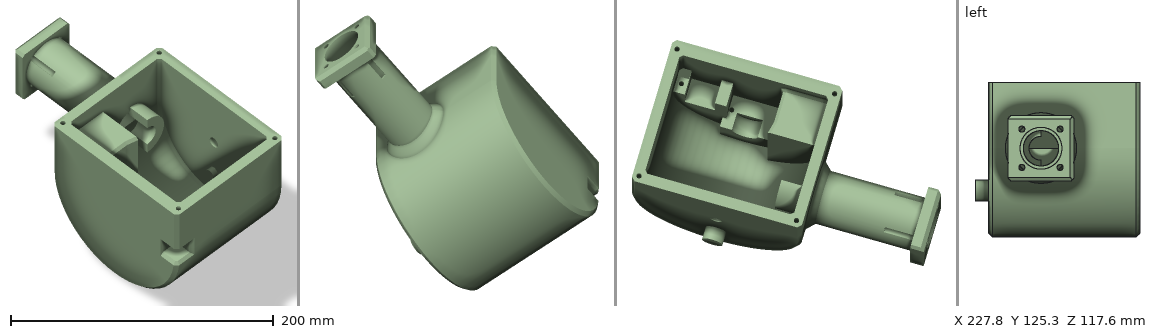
import cadquery as cq

total_length = 227.8
housing_radius = 67.5
housing_top = 50.1
housing_depth = 115.3
housing_chamfer = 3.0

side_wall = 8.5
front_wall = 10.3
back_wall = 8.5
cavity_radius = housing_radius - side_wall
cavity_back = housing_depth - back_wall
cavity_chamfer = 2.3

corner_block_top = 34.9
corner_block_back = 46.5
corner_block_wide_edge = -21.0
corner_block_narrow_edge = -23.2
corner_block_taper_start = 37.0
corner_block_chamfer = 2.3

shaft_z = -32.1
bearing_block_half_width = 19.8
bearing_block_back = 36.7
bearing_radius = 10.3
bearing_length = 14.0
block_screw_diameter = 3.9
block_screw_y = 21.6
bearing_screw_x = 14.8

mount_left = 16.9
mount_back = 29.2
mount_top = 6.2
post_width = 9.0
mount_recess = 22.8
mount_screw_x = 54.7

window_left = 50.1
window_back = 16.6
window_bottom = -4.8
window_top = 8.9
window_chamfer = 2.5

barrel_y = 75.5
barrel_radius = 21.0
barrel_root_chamfer = 6.2
barrel_bore_radius = 13.5
barrel_counterbore_radius = 16.0
barrel_counterbore_depth = 19.1
flange_size = 50.1
flange_thickness = 10.7
flange_chamfer = 3.0
flange_corner_chamfer = 2.3
flange_front = housing_radius - total_length
flange_screw_offset = 14.5
flange_screw_diameter = 4.5
flange_screw_depth = 34.2

half_tube_radius = 18.0
half_tube_bore_radius = 9.0
half_tube_end = -40.3

outer_boss_diameter = 16.2
outer_boss_length = 10.0
inner_stub_diameter = 8.2
inner_stub_length = 4.8
wall_hole_diameter = 9.0
wall_hole_z = 0.0

lid_screw_x = 62.5
lid_screw_front = 6.8
lid_screw_back = housing_depth - 5.0
lid_screw_diameter = 4.0
lid_screw_depth = 13.7

margin = 0.2


def box(x_min, x_max, y_min, y_max, z_min, z_max):
    """Axis-aligned box between the given limits."""
    return cq.Workplane("XY").box(
        x_max - x_min, y_max - y_min, z_max - z_min, centered=False
    ).translate((x_min, y_min, z_min))


def rod_y(x, z, radius, y_min, y_max):
    """Round bar along Y."""
    return cq.Workplane("XZ", origin=(x, y_min, z)).circle(radius).extrude(y_min - y_max)


def rod_x(y, z, radius, x_min, x_max):
    """Round bar along X."""
    return cq.Workplane("YZ", origin=(x_min, y, z)).circle(radius).extrude(x_max - x_min)


def rod_down(x, y, radius, z_max, depth):
    """Round bar going down from z_max."""
    return cq.Workplane("XY", origin=(x, y, z_max)).circle(radius).extrude(-depth)


def u_prism(radius, y_min, y_max):
    """Solid with a flat top and a half-round bottom, running along Y."""
    return (
        cq.Workplane("XZ", origin=(0, y_min, 0))
        .moveTo(-radius, housing_top)
        .lineTo(-radius, 0)
        .threePointArc((0, -radius), (radius, 0))
        .lineTo(radius, housing_top)
        .close()
        .extrude(y_min - y_max)
    )


def make_shell():
    body = u_prism(housing_radius, 0, housing_depth)
    body = body.faces("<Y").edges("not(>Z)").chamfer(housing_chamfer)
    return body.faces(">Y").edges("not(>Z)").chamfer(housing_chamfer)


def make_corner_block():
    outline = [
        (-cavity_radius, front_wall),
        (corner_block_narrow_edge, front_wall),
        (corner_block_narrow_edge, corner_block_taper_start),
        (corner_block_wide_edge, corner_block_back),
        (-cavity_radius, corner_block_back),
    ]
    height = corner_block_top + cavity_radius
    block = cq.Workplane("XY", origin=(0, 0, -cavity_radius)).polyline(outline).close().extrude(height)
    right_edges = cq.selectors.BoxSelector(
        (corner_block_narrow_edge - margin, front_wall, corner_block_top - margin),
        (corner_block_wide_edge + margin, corner_block_back - margin, corner_block_top + margin),
    )
    return block.edges(right_edges).chamfer(corner_block_chamfer)


def make_bearing_block():
    return box(
        -bearing_block_half_width, bearing_block_half_width,
        front_wall, bearing_block_back,
        -cavity_radius, shaft_z,
    )


def make_mount():
    mount = box(mount_left, cavity_radius, front_wall, mount_back, -cavity_radius, mount_top)
    recess = box(
        mount_left + post_width, cavity_radius - post_width,
        front_wall, mount_back,
        mount_top - mount_recess, mount_top,
    )
    return mount.cut(recess)


def make_cavity():
    """Space inside the housing, shaped around the blocks left standing in it."""
    cavity = u_prism(cavity_radius, front_wall, cavity_back).cut(make_corner_block())
    cavity = cavity.faces("<Y").edges("not(>Z)").chamfer(cavity_chamfer)
    cavity = cavity.faces(">Y").edges("not(>Z)").chamfer(cavity_chamfer)
    return cavity.cut(make_bearing_block()).cut(make_mount())


def add_barrel(body):
    """Barrel joined to the housing with a bevelled root that follows the curved wall."""
    body = body.union(rod_x(barrel_y, 0, barrel_radius, flange_front + flange_thickness, 0))
    root_edges = cq.selectors.BoxSelector(
        (-housing_radius - margin, barrel_y - barrel_radius - margin, -barrel_radius - margin),
        (-cavity_radius, barrel_y + barrel_radius + margin, barrel_radius + margin),
        boundingbox=True,
    )
    return body.edges(root_edges).chamfer(barrel_root_chamfer)


def make_flange():
    half = flange_size / 2
    flange = box(
        flange_front, flange_front + flange_thickness,
        barrel_y - half, barrel_y + half,
        -half, half,
    )
    flange = flange.faces("<X").edges("<Y or >Z or <Z").chamfer(flange_chamfer)
    return flange.edges("|X").chamfer(flange_corner_chamfer)


def cut_barrel_bores(body):
    counterbore_end = flange_front + barrel_counterbore_depth
    body = body.cut(rod_x(barrel_y, 0, barrel_bore_radius, flange_front, -cavity_radius))
    return body.cut(rod_x(barrel_y, 0, barrel_counterbore_radius, flange_front, counterbore_end))


def cut_flange_screws(body):
    for side in (-1, 1):
        for level in (-1, 1):
            y = barrel_y + side * flange_screw_offset
            z = level * flange_screw_offset
            screw = rod_x(y, z, flange_screw_diameter / 2, flange_front, flange_front + flange_screw_depth)
            body = body.cut(screw)
    return body


def make_half_tube():
    """Half of a thick tube on the +Y side of the barrel axis, starting in the housing wall."""
    tube = rod_x(barrel_y, 0, half_tube_radius, -housing_radius + side_wall / 2, half_tube_end)
    tube = tube.cut(rod_x(barrel_y, 0, half_tube_bore_radius, -housing_radius, half_tube_end))
    keep = box(
        -housing_radius, half_tube_end,
        barrel_y, barrel_y + half_tube_radius,
        -half_tube_radius, half_tube_radius,
    )
    return tube.intersect(keep)


def make_back_shaft():
    boss = rod_y(0, shaft_z, outer_boss_diameter / 2, cavity_back, housing_depth + outer_boss_length)
    stub = rod_y(0, shaft_z, inner_stub_diameter / 2, cavity_back - inner_stub_length, housing_depth)
    return boss.union(stub)


def cut_block_details(body):
    """Bearing seat and the screw holes of the bearing block and the mount."""
    body = body.cut(
        rod_y(0, shaft_z, bearing_radius, bearing_block_back - bearing_length, bearing_block_back)
    )
    radius = block_screw_diameter / 2
    screws = rod_down(mount_screw_x, block_screw_y, radius, mount_top, mount_top + cavity_radius)
    screws = screws.union(
        rod_down(bearing_screw_x, block_screw_y, radius, shaft_z, shaft_z + cavity_radius)
    )
    return body.cut(screws.intersect(u_prism(cavity_radius, front_wall, cavity_back)))


def cut_lid_screws(body):
    """Blind screw holes in the rim, each ending in a 90 degree drill point."""
    radius = lid_screw_diameter / 2
    outline = [
        (0, 0),
        (radius, 0),
        (radius, -lid_screw_depth),
        (0, -lid_screw_depth - radius),
    ]
    hole = cq.Workplane("XZ").polyline(outline).close().revolve(360, (0, 0, 0), (0, 1, 0))
    for x in (-lid_screw_x, lid_screw_x):
        for y in (lid_screw_front, lid_screw_back):
            body = body.cut(hole.translate((x, y, housing_top)))
    return body


def cut_window(body):
    """Notch open to the front and right, with its mouth bevelled except at the left end."""
    body = body.cut(box(window_left, housing_radius, 0, window_back, window_bottom, window_top))
    low_z = window_bottom - margin
    high_z = window_top + margin
    front_edges = cq.selectors.BoxSelector(
        (window_left + margin, -margin, low_z),
        (housing_radius, margin, high_z),
    )
    right_edges = cq.selectors.BoxSelector(
        (housing_radius - housing_chamfer, margin, low_z),
        (housing_radius + margin, window_back + margin, high_z),
    )
    return body.edges(front_edges + right_edges).chamfer(window_chamfer)


result = add_barrel(make_shell()).union(make_flange()).cut(make_cavity())
result = cut_flange_screws(cut_barrel_bores(result))
result = result.union(make_half_tube()).union(make_back_shaft())
result = result.cut(rod_y(0, wall_hole_z, wall_hole_diameter / 2, cavity_back, housing_depth))
result = cut_window(cut_lid_screws(cut_block_details(result)))